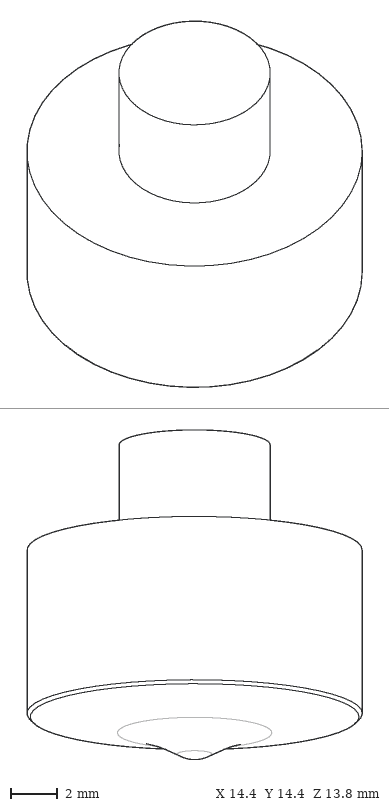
import cadquery as cq

body_radius = 7.2
stem_radius = 6.5 / 2
total_height = 13.77
stem_height = 4.61
edge_chamfer = 0.15
cone_top_height = 1.86
flare_radius = 3.31
flare_height = 1.15
tip_radius = 0.75
tip_height = 0.22

shoulder_height = total_height - stem_height
cone_top_radius = body_radius - edge_chamfer

sphere_radius = (tip_radius**2 + tip_height**2) / (2 * tip_height)
tip_mid_radius = tip_radius / 2
tip_mid_height = sphere_radius - (sphere_radius**2 - tip_mid_radius**2) ** 0.5

profile = (
    cq.Workplane("XZ")
    .moveTo(0, total_height)
    .lineTo(stem_radius, total_height)
    .lineTo(stem_radius, shoulder_height)
    .lineTo(body_radius, shoulder_height)
    .lineTo(body_radius, cone_top_height + edge_chamfer)
    .lineTo(cone_top_radius, cone_top_height)
    .lineTo(flare_radius, flare_height)
    .tangentArcPoint((tip_radius, tip_height), relative=False)
    .threePointArc((tip_mid_radius, tip_mid_height), (0, 0))
    .close()
)

result = profile.revolve(360, (0, 0, 0), (0, 1, 0))